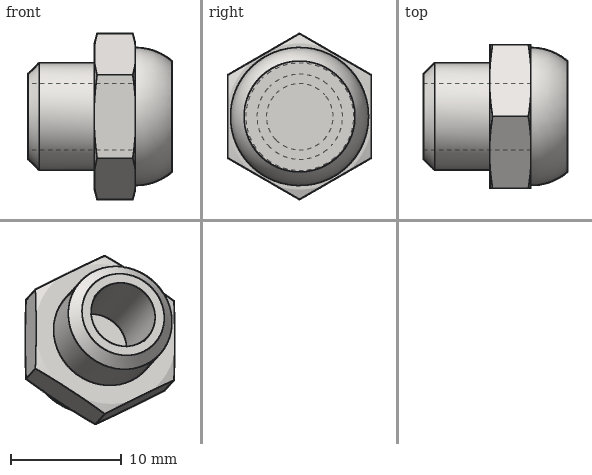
import cadquery as cq
import math

total_length = 13.0
hex_corner_diameter = 15.0
hex_start = 6.0
hex_end = 9.7
shank_radius = 4.86
tip_radius = 3.85
tip_chamfer_length = 1.0
bore_radius = 3.0
bore_depth = hex_end
hex_face_radius = 6.6
hex_chamfer_angle = 15.0
dome_base_radius = 6.24
dome_end_radius = 5.01


def make_shank():
    """Cylindrical shank with a conical tip, revolved about X."""
    return (
        cq.Workplane("XY")
        .lineTo(0, tip_radius)
        .lineTo(tip_chamfer_length, shank_radius)
        .lineTo(hex_start, shank_radius)
        .lineTo(hex_start, 0)
        .close()
        .revolve(360, (0, 0, 0), (1, 0, 0))
    )


def make_hex():
    """Hexagon with corners on Z, its corners turned down at both faces."""
    prism = (
        cq.Workplane("YZ", origin=(hex_start, 0, 0))
        .transformed(rotate=(0, 0, 90))
        .polygon(6, hex_corner_diameter)
        .extrude(hex_end - hex_start)
    )
    corner_radius = hex_corner_diameter / 2
    chamfer_length = (corner_radius - hex_face_radius) * math.tan(math.radians(hex_chamfer_angle))
    outer_radius = corner_radius + (corner_radius - hex_face_radius)
    outer_length = 2 * chamfer_length
    envelope = (
        cq.Workplane("XY")
        .moveTo(hex_start, 0)
        .lineTo(hex_start, hex_face_radius)
        .lineTo(hex_start + outer_length, outer_radius)
        .lineTo(hex_end - outer_length, outer_radius)
        .lineTo(hex_end, hex_face_radius)
        .lineTo(hex_end, 0)
        .close()
        .revolve(360, (0, 0, 0), (1, 0, 0))
    )
    return prism.intersect(envelope)


def make_dome():
    """Rounded head whose arc leaves the hexagon parallel to the axis."""
    length = total_length - hex_end
    drop = dome_base_radius - dome_end_radius
    arc_radius = (length**2 + drop**2) / (2 * drop)
    mid_angle = math.asin(length / arc_radius) / 2
    mid_x = hex_end + arc_radius * math.sin(mid_angle)
    mid_radius = dome_base_radius - arc_radius * (1 - math.cos(mid_angle))
    return (
        cq.Workplane("XY")
        .moveTo(hex_end, 0)
        .lineTo(hex_end, dome_base_radius)
        .threePointArc((mid_x, mid_radius), (total_length, dome_end_radius))
        .lineTo(total_length, 0)
        .close()
        .revolve(360, (0, 0, 0), (1, 0, 0))
    )


bore = cq.Workplane("YZ").circle(bore_radius).extrude(bore_depth)

result = make_shank().union(make_hex()).union(make_dome()).cut(bore)